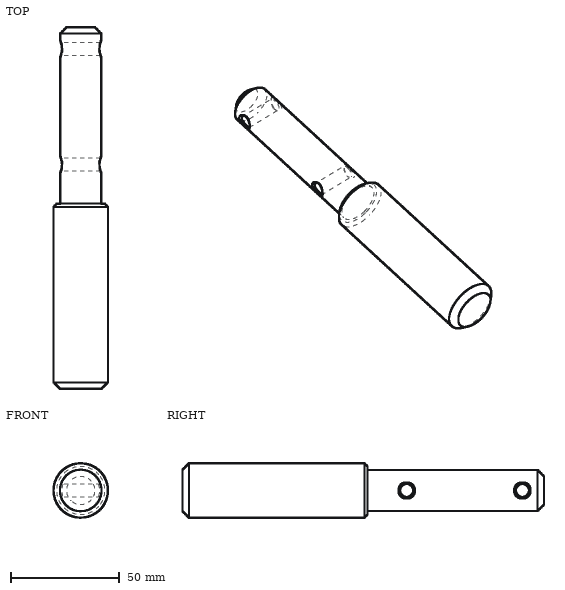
import cadquery as cq

total_length = 166.0
handle_diameter = 25.0
pin_diameter = 19.0
pin_length = 81.0
end_chamfer = 3.0
shoulder_chamfer = 1.5

hole_diameter = 6.0
hole_end_distances = (10.0, 63.0)
mouth_chamfer = 0.8

front_y = -total_length / 2
tip_y = total_length / 2
shoulder_y = tip_y - pin_length
handle_radius = handle_diameter / 2
pin_radius = pin_diameter / 2
hole_radius = hole_diameter / 2


def make_body():
    """Revolve the stepped, chamfered half profile about the Y axis."""
    return (
        cq.Workplane("XY")
        .moveTo(0, front_y)
        .lineTo(handle_radius - end_chamfer, front_y)
        .lineTo(handle_radius, front_y + end_chamfer)
        .lineTo(handle_radius, shoulder_y - shoulder_chamfer)
        .lineTo(handle_radius - shoulder_chamfer, shoulder_y)
        .lineTo(pin_radius, shoulder_y)
        .lineTo(pin_radius, tip_y - end_chamfer)
        .lineTo(pin_radius - end_chamfer, tip_y)
        .lineTo(0, tip_y)
        .close()
        .revolve(360, (0, 0, 0), (0, 1, 0))
    )


def make_drilled_body():
    """Drill the cross holes through the thin section along X."""
    body = make_body()
    for distance in hole_end_distances:
        hole = (
            cq.Workplane("YZ", origin=(-pin_diameter, tip_y - distance, 0))
            .circle(hole_radius)
            .extrude(2 * pin_diameter)
        )
        body = body.cut(hole)
    return body


def chamfer_hole_mouths(body):
    """Break the curved edge of each hole mouth on both sides of the thin section."""
    for distance in hole_end_distances:
        for side in (-1, 1):
            mouth = (side * pin_radius, tip_y - distance, 0)
            body = body.edges(cq.selectors.NearestToPointSelector(mouth)).chamfer(mouth_chamfer)
    return body


result = chamfer_hole_mouths(make_drilled_body())